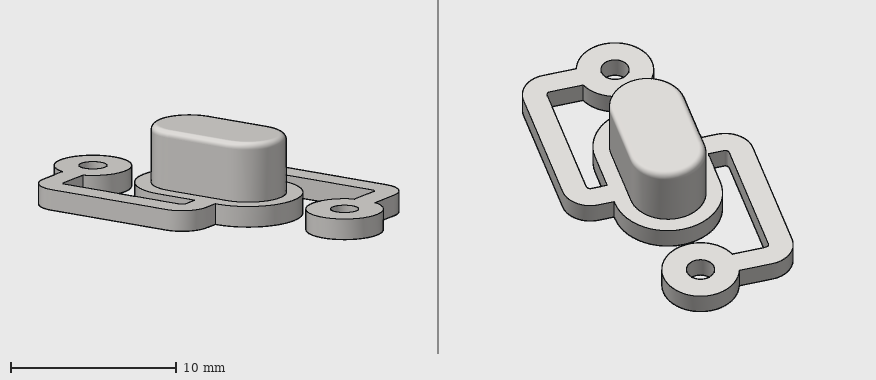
import cadquery as cq

straight_length = 4.25
button_width = 4.65
flange_margin = 1.0
flange_width = button_width + 2 * flange_margin
plate_thickness = 1.3
total_height = 4.98
button_edge_fillet = 0.4

ring_spacing = 18.25
ring_diameter = 4.7
hole_diameter = 1.7

arm_width = 1.5
arm_reach = 6.07
arm_root_offset = 1.2
outer_bend_radius = 1.75
inner_bend_radius = outer_bend_radius - arm_width


def obround(width, height):
    """Upright obround prism standing on the bottom plane."""
    return cq.Workplane("XY").slot2D(straight_length + width, width).extrude(height)


def bent_frame(left, right, top, bend_radius):
    """Plate reaching in +Y from the part's X axis, with both upper corners rounded."""
    width = right - left
    block = cq.Workplane("XY").box(width, top, plate_thickness, centered=False)
    return block.edges("|Z and >Y").fillet(bend_radius).translate((left, 0, 0))


def spring_arm():
    """U-shaped arm from the flange's +Y side to the +X ring."""
    outer_left = -arm_root_offset - arm_width / 2
    outer_right = ring_spacing / 2 + arm_width / 2
    outer = bent_frame(outer_left, outer_right, arm_reach, outer_bend_radius)
    inner = bent_frame(
        outer_left + arm_width,
        outer_right - arm_width,
        arm_reach - arm_width,
        inner_bend_radius,
    )
    return outer.cut(inner)


def ring_disc():
    """Solid disc of the +X mounting ring."""
    return cq.Workplane("XY").center(ring_spacing / 2, 0).circle(ring_diameter / 2).extrude(plate_thickness)


def button():
    """Raised button with a rounded top edge."""
    return obround(button_width, total_height).faces(">Z").edges().fillet(button_edge_fillet)


def mounting_holes():
    """Through holes of both rings."""
    centres = [(-ring_spacing / 2, 0), (ring_spacing / 2, 0)]
    return cq.Workplane("XY").pushPoints(centres).circle(hole_diameter / 2).extrude(plate_thickness)


result = obround(flange_width, plate_thickness).union(button())
arm_with_ring = spring_arm().union(ring_disc())
for turn in (0, 180):
    result = result.union(arm_with_ring.rotate((0, 0, 0), (0, 0, 1), turn))
result = result.cut(mounting_holes())